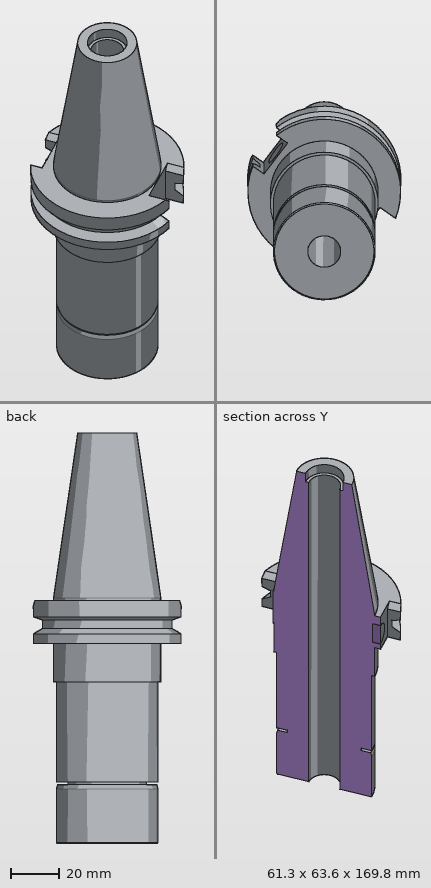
import cadquery as cq

total_height = 169.8
taper_base_z = 101.5
flange_top_z = 100.5
flange_bottom_z = 82.7
upper_rim_bottom_z = 93.8
v_groove_top_z = 92.4
v_groove_bottom_z = 89.0
lower_rim_top_z = 86.8
collar_bottom_z = 67.0
neck_top_z = 25.5
neck_bottom_z = 24.5
nose_shoulder_z = 22.6

taper_base_radius = 22.3
taper_top_radius = 12.2
flange_top_radius = 31.8
rim_radius = 31.6
v_groove_radius = 28.0
collar_radius = 22.3
shank_radius = 21.0
neck_radius = 16.3
nose_top_radius = 20.5
nose_end_chamfer = 0.5

bore_radius = 6.8
mouth_radius = 8.2
mouth_depth = 4.6

slot_width = 16.5
slot_chamfer = 2.4
left_slot_floor = 24.8
right_slot_floor = 22.6

plug_radius = 5.0
plug_depth = 3.4
plug_z = 90.7


def turned_blank():
    """Taper, flange, collar, shank and nose revolved about Z."""
    profile = [
        (0, 0),
        (shank_radius - nose_end_chamfer, 0),
        (shank_radius, nose_end_chamfer),
        (shank_radius, nose_shoulder_z),
        (nose_top_radius, neck_bottom_z),
        (neck_radius, neck_bottom_z),
        (neck_radius, neck_top_z),
        (shank_radius, neck_top_z),
        (shank_radius, collar_bottom_z),
        (collar_radius, collar_bottom_z),
        (collar_radius, flange_bottom_z),
        (rim_radius, flange_bottom_z),
        (rim_radius, lower_rim_top_z),
        (v_groove_radius, v_groove_bottom_z),
        (v_groove_radius, v_groove_top_z),
        (rim_radius, upper_rim_bottom_z),
        (flange_top_radius, flange_top_z),
        (taper_base_radius, flange_top_z),
        (taper_base_radius, taper_base_z),
        (taper_top_radius, total_height),
        (0, total_height),
    ]
    return cq.Workplane("XZ").polyline(profile).close().revolve(360, (0, 0, 0), (0, 1, 0))


def bore_cutter():
    bore = cq.Workplane("XY").circle(bore_radius).extrude(total_height)
    mouth = cq.Workplane("XY").workplane(offset=total_height - mouth_depth).circle(mouth_radius)
    return bore.union(mouth.extrude(mouth_depth))


def drive_slot_cutter(floor_distance, side):
    """Slot with chamfered top edges, cut outward along X; side is -1 or +1."""
    half_width = slot_width / 2
    mouth_half_width = half_width + slot_chamfer
    chamfer_z = flange_top_z - slot_chamfer
    section = [
        (-half_width, flange_bottom_z),
        (half_width, flange_bottom_z),
        (half_width, chamfer_z),
        (mouth_half_width, flange_top_z),
        (-mouth_half_width, flange_top_z),
        (-half_width, chamfer_z),
    ]
    plane = cq.Workplane("YZ").workplane(offset=side * floor_distance)
    return plane.polyline(section).close().extrude(side * flange_top_radius)


def make_plug():
    plane = cq.Workplane("YZ").workplane(offset=-left_slot_floor)
    return plane.center(0, plug_z).circle(plug_radius).extrude(plug_depth)


def make_holder():
    holder = turned_blank().cut(bore_cutter())
    for floor_distance, side in ((left_slot_floor, -1), (right_slot_floor, 1)):
        holder = holder.cut(drive_slot_cutter(floor_distance, side))
    return holder.cut(make_plug())


holder = make_holder()
plug = make_plug()

result = cq.Compound.makeCompound([holder.val(), plug.val()])